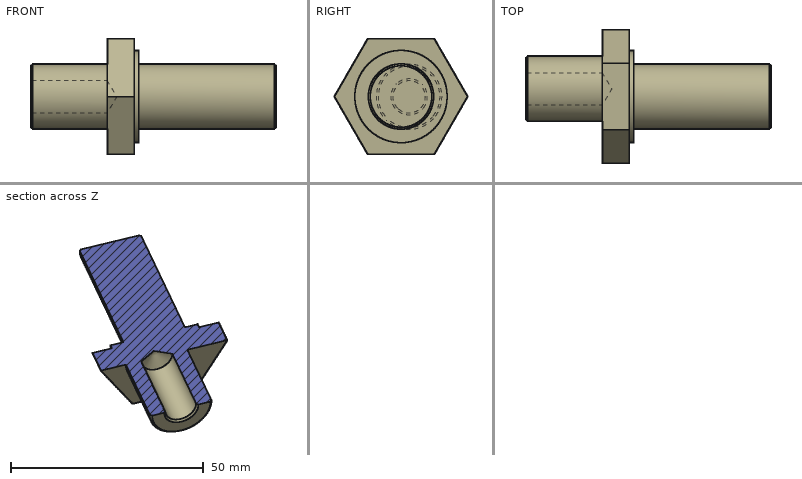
import cadquery as cq
import math

total_length = 63.6
stub_length = 19.85
hex_thickness = 7.0
collar_thickness = 1.15
shaft_length = total_length - stub_length - hex_thickness

shaft_diameter = 17.0
hex_across_flats = 30.0
hex_across_corners = hex_across_flats / math.cos(math.radians(30))
collar_diameter = 24.0
eccentricity = 2.05
end_chamfer = 0.5

hole_diameter = 8.4
hole_depth = 19.7
drill_point_angle = 118.0
mouth_chamfer = 0.5


def section_plane(x, y=0):
    """Plane across the part, facing +X, with its local x along +Y."""
    return cq.Workplane(cq.Plane(origin=(x, y, 0), xDir=(0, 1, 0), normal=(1, 0, 0)))


def make_stub():
    stub = section_plane(0, eccentricity).circle(shaft_diameter / 2).extrude(stub_length)
    return stub.faces("<X").chamfer(end_chamfer)


def make_hexagon():
    return section_plane(stub_length).polygon(6, hex_across_corners).extrude(hex_thickness)


def make_shaft():
    hex_end = stub_length + hex_thickness
    shaft = section_plane(hex_end).circle(shaft_diameter / 2).extrude(shaft_length)
    shaft = shaft.faces(">X").chamfer(end_chamfer)
    collar = section_plane(hex_end).circle(collar_diameter / 2).extrude(collar_thickness)
    return shaft.union(collar)


def make_hole():
    """Drilled hole with a conical bottom and a chamfered mouth, revolved about the stub axis."""
    radius = hole_diameter / 2
    tip_length = radius / math.tan(math.radians(drill_point_angle / 2))
    profile = (
        cq.Workplane("XY", origin=(0, eccentricity, 0))
        .polyline([
            (0, 0),
            (0, radius + mouth_chamfer),
            (mouth_chamfer, radius),
            (hole_depth, radius),
            (hole_depth + tip_length, 0),
        ])
        .close()
    )
    return profile.revolve(360, (0, 0, 0), (1, 0, 0))


result = make_stub().union(make_hexagon()).union(make_shaft()).cut(make_hole())